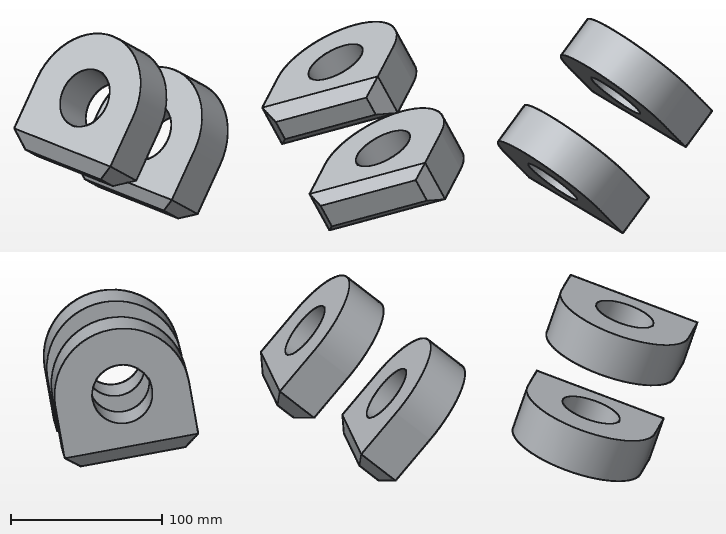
import cadquery as cq

lug_radius = 45.0
lug_width = 2 * lug_radius
lug_thickness = 30.0
hole_radius = 20
straight_length = 36.0
lug_pitch = 71.1

front_foot_height = 9.7
rear_foot_height = 8
side_slope = 1
face_slope = 0.82

tilt_angle = 49
yaw_angle = 7.2


def lug_body():
    """Round-topped plate, centred on the hole axis and on its mid-thickness."""
    return (
        cq.Workplane("XY", origin=(0, 0, -lug_thickness / 2))
        .moveTo(-lug_radius, -straight_length)
        .lineTo(lug_radius, -straight_length)
        .lineTo(lug_radius, 0)
        .threePointArc((0, lug_radius), (-lug_radius, 0))
        .close()
        .extrude(lug_thickness)
    )


def tapered_foot(height):
    """Truncated pyramid that narrows downward from the end of the plate."""
    end_width = lug_width - 2 * side_slope * height
    end_thickness = lug_thickness - 2 * face_slope * height
    return (
        cq.Workplane("XZ", origin=(0, -straight_length, 0))
        .rect(lug_width, lug_thickness)
        .workplane(offset=height)
        .rect(end_width, end_thickness)
        .loft(ruled=True)
    )


def axis_hole():
    return cq.Workplane("XY").circle(hole_radius).extrude(lug_thickness, both=True)


def lug(foot_height, axis_position):
    """One complete lug, placed along the hole axis and turned into the tilted pose."""
    upright = lug_body().union(tapered_foot(foot_height)).cut(axis_hole())
    return (
        upright.translate((0, 0, axis_position))
        .rotate((0, 0, 0), (0, 1, 0), -yaw_angle)
        .rotate((0, 0, 0), (1, 0, 0), tilt_angle)
    )


front_lug = lug(front_foot_height, lug_pitch / 2)
rear_lug = lug(rear_foot_height, -lug_pitch / 2)

result = cq.Compound.makeCompound([front_lug.val(), rear_lug.val()])